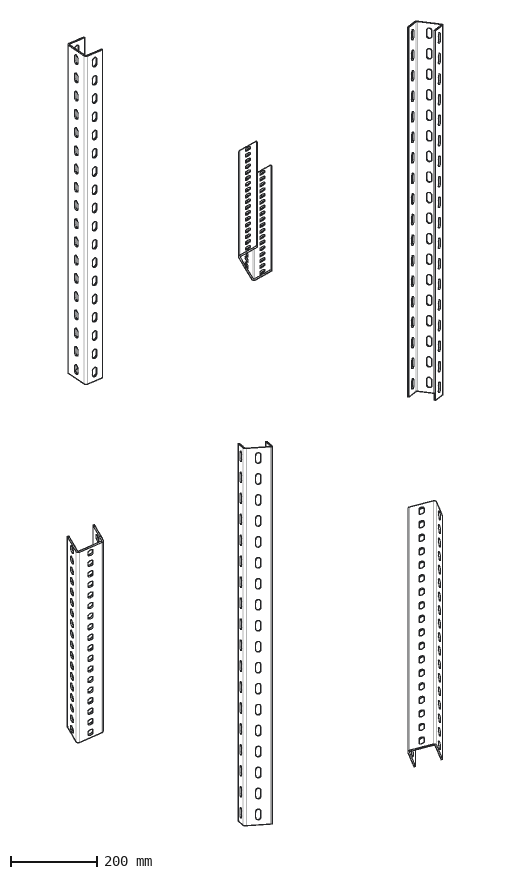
import cadquery as cq

length = 900.0
width = 70.0
depth = 50.0

thickness = 4.0
outer_bend_radius = 6.0
inner_bend_radius = outer_bend_radius - thickness

slot_count = 18
slot_pitch = length / slot_count
slot_end_radius = 6.5
slot_width = 2 * slot_end_radius
slot_length = slot_pitch / 2
flange_slot_offset = 27.0

web_face_y = -depth / 2
free_edge_y = depth / 2
slot_heights = [(i + 0.5) * slot_pitch for i in range(slot_count)]


def rounded_bar(bar_width, front_y, bend_radius):
    """Full-length bar whose two front vertical edges are rounded."""
    bar_depth = free_edge_y - front_y
    return (
        cq.Workplane("XY")
        .center(0, front_y + bar_depth / 2)
        .rect(bar_width, bar_depth)
        .extrude(length)
        .edges("|Z and <Y")
        .fillet(bend_radius)
    )


def channel():
    """Bent sheet: a web facing -Y with two flanges running toward +Y."""
    outside = rounded_bar(width, web_face_y, outer_bend_radius)
    inside = rounded_bar(width - 2 * thickness, web_face_y + thickness, inner_bend_radius)
    return outside.cut(inside)


def slot_row(plane, across, cut_depth):
    """Upright slot cutters, centred on one line of the given wall plane."""
    centres = [(across, height) for height in slot_heights]
    return plane.pushPoints(centres).slot2D(slot_length, slot_width, 90).extrude(cut_depth)


web_slots = slot_row(cq.Workplane("XZ", origin=(0, web_face_y, 0)), 0, -thickness)

flange_slots = slot_row(
    cq.Workplane("YZ", origin=(-width / 2, 0, 0)), web_face_y + flange_slot_offset, width
)

result = channel().cut(web_slots).cut(flange_slots)